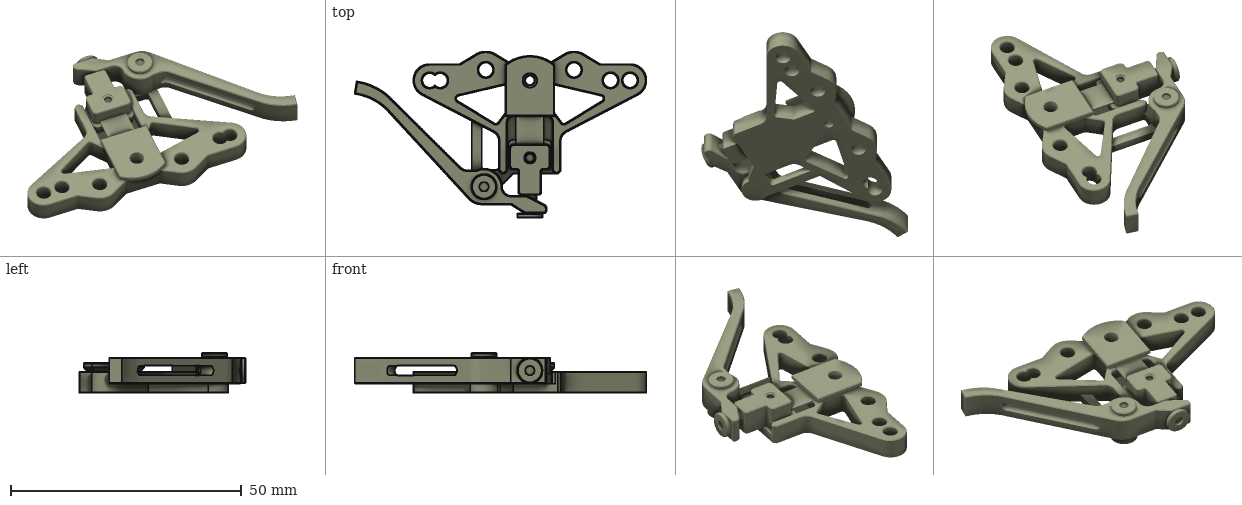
import cadquery as cq
import math

edge_break = 0.2

frame_height = 4.55
base_height = 1.95
wing_hole_x = 21.75
wing_radius = 3.55
lobe_x = 9.6
lobe_y = 2.3
lobe_radius = 4.0
lobe_run = 5.65
wing_hole_diameter = 3.2
right_hole_x = 17.5
left_hole_x = -19.45
strut_foot_x = 7.35
strut_foot_y = -11.5
strut_foot_drop = 0.3
strut_bend_radius = 2.2
rail_outer_x = 6.7
rail_end_y = -20.2
rail_end_chamfer = 0.65

window_points = [(4.55, -0.75), (17.0, -3.7), (7.2, -9.65), (4.55, -6.1)]
window_fillet = 0.65

channel_half_width = 4.9
channel_back_y = -7.85
channel_corner_radius = 1.2
front_clearance = 0.65

arm_left_x = -12.6
arm_width = 2.2
arm_top_y = -7.6
arm_window_bottom_y = -19.4
arm_window_fillet = 0.65
arm_brace_x = -3.6
pivot_x = -9.95
pivot_y = -23.1
pivot_boss_radius = 3.01

plate_half_width = 5.3
plate_front_y = -7.8
plate_corner_y = 3.4
plate_back_y = 5.3
plate_thickness = 1.9
plate_chamfer = 0.9
plate_hole_diameter = 3.2
through_hole_diameter = 2.0

bar_half_width = 3.05
bar_thickness = 0.5
bar_back_y = 2.55
bar_front_y = -19.0

slider_half_width = 4.45
slider_back_y = -13.9
flange_half_width = 4.7
flange_back_y = -12.9
slider_shoulder_y = -19.4
stem_half_width = 2.5
slider_front_y = -24.85
slider_fillet = 0.95
stem_fillet = 0.4
set_screw_diameter = 2.5
set_screw_y = -16.8
set_screw_socket = 1.8
set_screw_socket_depth = 0.95

lever_height = 5.65
lever_boss_radius = 3.9
neck_radius = 1.95
lever_slot_width = 2.1
lever_slot_start = (-31.1, -6.5)
lever_slot_end = (-15.65, -22.7)
lever_slot_reach = 3.8

screw_head_diameter = 5.5
screw_head_height = 1.0
screw_shank_diameter = 3.0
screw_socket_diameter = 2.0
screw_socket_depth = 0.65

lever_top = base_height + lever_height
lever_middle = base_height + lever_height / 2
adjuster_head_y = -28.85
bar_bottom = frame_height - bar_thickness
slider_top = lever_top


def block(x_min, x_max, y_min, y_max, z_min, z_max):
    """Box given by its limits along each axis."""
    size = (x_max - x_min, y_max - y_min, z_max - z_min)
    return cq.Workplane("XY").box(*size, centered=False).translate((x_min, y_min, z_min))


def cylinder(x, y, diameter, z_min, z_max):
    """Upright cylinder between two heights."""
    return cq.Workplane("XY", origin=(x, y, z_min)).circle(diameter / 2).extrude(z_max - z_min)


def tangent_point(centre_x, centre_y, radius, point_x, point_y, side):
    """Point where a line from an outside point touches a circle, on the chosen side (+1 or -1)."""
    away = math.hypot(point_x - centre_x, point_y - centre_y)
    angle = math.atan2(point_y - centre_y, point_x - centre_x) + side * math.acos(radius / away)
    return centre_x + radius * math.cos(angle), centre_y + radius * math.sin(angle)


def window():
    """Opening between the wing and its strut, on the +X side."""
    opening = cq.Workplane("XY").polyline(window_points).close().extrude(frame_height)
    return opening.edges("|Z").fillet(window_fillet)


def frame_half():
    """+X half of the frame outline, extruded to full height."""
    flank_y = wing_radius
    lobe_inner = tangent_point(lobe_x, lobe_y, lobe_radius, lobe_x - lobe_run, flank_y, -1)
    lobe_outer = tangent_point(lobe_x, lobe_y, lobe_radius, lobe_x + lobe_run, flank_y, 1)
    wing_bottom = tangent_point(wing_hole_x, 0, wing_radius, strut_foot_x, strut_foot_y, 1)
    half = (
        cq.Workplane("XY")
        .moveTo(0, flank_y)
        .lineTo(lobe_x - lobe_run, flank_y)
        .lineTo(*lobe_inner)
        .threePointArc((lobe_x, lobe_y + lobe_radius), lobe_outer)
        .lineTo(lobe_x + lobe_run, flank_y)
        .lineTo(wing_hole_x, flank_y)
        .threePointArc((wing_hole_x + wing_radius, 0), wing_bottom)
        .lineTo(rail_outer_x, strut_foot_y - strut_foot_drop)
        .lineTo(rail_outer_x, rail_end_y)
        .lineTo(0, rail_end_y)
        .close()
        .extrude(frame_height)
    )
    bend = cq.selectors.BoxSelector((rail_outer_x - 0.05, strut_foot_y - 0.65, -0.65),
                                    (rail_outer_x + 0.05, strut_foot_y + 0.65, frame_height + 0.65))
    half = half.edges(bend).edges("|Z").fillet(strut_bend_radius)
    return half.cut(window())


def channel():
    """Slider channel open at the front, with the shallow bar groove behind it."""
    front = rail_end_y - front_clearance
    slot = block(-channel_half_width, channel_half_width, front, channel_back_y, base_height, frame_height)
    slot = slot.edges("|Z and >Y").fillet(channel_corner_radius)
    groove = block(-bar_half_width, bar_half_width, front, bar_back_y, bar_bottom, frame_height)
    return slot.union(groove)


def arm():
    """Low plate on the -X side that carries the lever pivot."""
    inner_x = arm_left_x + arm_width
    brace_run = rail_end_y - pivot_y
    plate_body = (
        cq.Workplane("XY")
        .polyline([(arm_left_x, arm_top_y), (arm_left_x, pivot_y), (arm_brace_x - brace_run, pivot_y),
                   (arm_brace_x, rail_end_y), (arm_brace_x, arm_top_y)])
        .close().extrude(base_height)
    )
    plate_body = plate_body.union(cylinder(pivot_x, pivot_y, 2 * pivot_boss_radius, 0, base_height))
    opening = block(inner_x, -rail_outer_x, arm_window_bottom_y, arm_top_y, 0, base_height)
    plate_body = plate_body.cut(opening.edges("|Z and <Y").fillet(arm_window_fillet))
    return plate_body.cut(window().mirror("YZ"))


def make_frame():
    half = frame_half()
    body = half.union(half.mirror("YZ")).cut(channel())
    body = body.edges("|Z and <Y").chamfer(rail_end_chamfer)
    hole_places = [(side * lobe_x, lobe_y) for side in (-1, 1)]
    hole_places += [(side * wing_hole_x, 0) for side in (-1, 1)]
    hole_places += [(right_hole_x, 0), (left_hole_x, 0)]
    for x, y in hole_places:
        body = body.cut(cylinder(x, y, wing_hole_diameter, 0, frame_height))
    body = body.faces(">Z").chamfer(edge_break)
    body = body.union(arm())
    body = body.cut(cylinder(pivot_x, pivot_y, screw_shank_diameter, 0, base_height))
    return body.cut(cylinder(0, 0, through_hole_diameter, 0, frame_height))


def make_plate():
    """Clamping plate with an undercut rim and a tapered hole."""
    body = (
        cq.Workplane("XY", origin=(0, 0, frame_height))
        .moveTo(-plate_half_width, plate_front_y)
        .lineTo(plate_half_width, plate_front_y)
        .lineTo(plate_half_width, plate_corner_y)
        .threePointArc((0, plate_back_y), (-plate_half_width, plate_corner_y))
        .close().extrude(plate_thickness)
    )
    body = body.faces("<Z").chamfer(plate_chamfer)
    body = body.faces(">Z").chamfer(edge_break)
    tapered_hole = (
        cq.Workplane("XY", origin=(0, 0, frame_height)).circle(through_hole_diameter / 2)
        .workplane(offset=plate_thickness).circle(plate_hole_diameter / 2).loft()
    )
    return body.cut(tapered_hole)


def make_bar():
    body = block(-bar_half_width, bar_half_width, bar_front_y, bar_back_y, bar_bottom, frame_height)
    return body.cut(cylinder(0, 0, through_hole_diameter, bar_bottom, frame_height))


def slider_head(half_width, back_y, bottom, top):
    """Wide part of the slider, with rounded upright corners."""
    wide = block(-half_width, half_width, slider_shoulder_y, back_y, bottom, top)
    return wide.edges("|Z").fillet(slider_fillet)


def make_slider():
    """T-shaped slider on a low flange, with a slot for the bar and a hole for the set screw."""
    body = slider_head(slider_half_width, slider_back_y, base_height, slider_top)
    stem = block(-stem_half_width, stem_half_width, slider_front_y, slider_back_y - slider_fillet,
                 base_height, slider_top)
    stem = stem.edges("|Z and <Y").chamfer(stem_fillet)
    body = body.union(stem)
    inner_corners = cq.selectors.BoxSelector(
        (-stem_half_width - 0.05, slider_shoulder_y - 0.05, base_height - 0.65),
        (stem_half_width + 0.05, slider_shoulder_y + 0.05, slider_top + 0.65))
    body = body.edges(inner_corners).edges("|Z").fillet(stem_fillet)
    body = body.faces(">Z").chamfer(edge_break)
    body = body.union(slider_head(flange_half_width, flange_back_y, base_height, bar_bottom))
    body = body.cut(block(-bar_half_width, bar_half_width, bar_front_y, flange_back_y,
                          bar_bottom, frame_height))
    return body.cut(cylinder(0, set_screw_y, set_screw_diameter, frame_height, slider_top))


def make_set_screw():
    body = cylinder(0, set_screw_y, set_screw_diameter, frame_height, slider_top - edge_break)
    socket = cylinder(0, set_screw_y, set_screw_socket, slider_top - set_screw_socket_depth, slider_top)
    return body.cut(socket)


def lever_slot():
    """Slot cut square through the straight part of the handle."""
    run_x = lever_slot_end[0] - lever_slot_start[0]
    run_y = lever_slot_end[1] - lever_slot_start[1]
    length = math.hypot(run_x, run_y)
    middle = ((lever_slot_start[0] + lever_slot_end[0]) / 2, (lever_slot_start[1] + lever_slot_end[1]) / 2)
    plane = cq.Plane(origin=(*middle, lever_middle), xDir=(run_x, run_y, 0), normal=(-run_y, run_x, 0))
    return cq.Workplane(plane).slot2D(length, lever_slot_width).extrude(lever_slot_reach, both=True)


def adjuster_shank():
    """Cylinder along Y that the adjuster shank fills."""
    length = slider_front_y - adjuster_head_y
    return (cq.Workplane("XZ", origin=(0, adjuster_head_y, lever_middle))
            .circle(screw_shank_diameter / 2).extrude(-length))


def make_lever():
    """Curved handle, round pivot boss and short end that holds the adjuster."""
    boss_rise = 3.55
    boss_run = math.sqrt(lever_boss_radius**2 - boss_rise**2)
    boss_diagonal = lever_boss_radius * math.cos(math.pi / 4)
    body = (
        cq.Workplane("XY", origin=(0, 0, base_height))
        .moveTo(-37.6, -0.2)
        .threePointArc((-34.0, -1.25), (-30.8, -3.3))
        .lineTo(-15.3, -18.7)
        .threePointArc((-14.4, -19.3), (-13.3, -19.5))
        .lineTo(pivot_x - boss_run, pivot_y + boss_rise)
        .threePointArc((pivot_x + boss_diagonal, pivot_y + boss_diagonal),
                       (pivot_x + lever_boss_radius, pivot_y))
        .tangentArcPoint((pivot_x + lever_boss_radius + neck_radius, pivot_y - neck_radius), relative=False)
        .lineTo(-0.65, -25.05)
        .lineTo(3.1, -26.95)
        .threePointArc((3.7, -27.9), (3.3, -28.8))
        .lineTo(-1.2, -28.8)
        .lineTo(-4.1, -26.95)
        .lineTo(-10.25, -26.95)
        .threePointArc((-12.05, -26.55), (-13.55, -25.35))
        .lineTo(-31.05, -6.35)
        .threePointArc((-34.3, -4.05), (-38.0, -2.9))
        .close().extrude(lever_height)
    )
    body = body.faces("<Z or >Z").chamfer(edge_break)
    pivot_hole = cylinder(pivot_x, pivot_y, screw_shank_diameter, base_height, lever_top)
    return body.cut(lever_slot()).cut(pivot_hole).cut(adjuster_shank())


def make_screw(shank_length):
    """Socket screw with the head sitting on Z = 0 and the shank hanging below."""
    head = cq.Workplane("XY").circle(screw_head_diameter / 2).extrude(screw_head_height)
    head = head.edges().chamfer(edge_break)
    head = head.cut(cylinder(0, 0, screw_socket_diameter,
                             screw_head_height - screw_socket_depth, screw_head_height))
    return head.union(cylinder(0, 0, screw_shank_diameter, -shank_length, 0))


def make_pivot_screw():
    return make_screw(lever_top).translate((pivot_x, pivot_y, lever_top))


def make_adjuster():
    screw = make_screw(slider_front_y - adjuster_head_y)
    return screw.rotate((0, 0, 0), (1, 0, 0), 90).translate((0, adjuster_head_y, lever_middle))


frame = make_frame()
plate = make_plate()
bar = make_bar()
slider = make_slider()
set_screw = make_set_screw()
lever = make_lever()
pivot_screw = make_pivot_screw()
adjuster = make_adjuster()

result = cq.Compound.makeCompound([
    frame.val(), plate.val(), bar.val(), slider.val(),
    set_screw.val(), lever.val(), pivot_screw.val(), adjuster.val(),
])